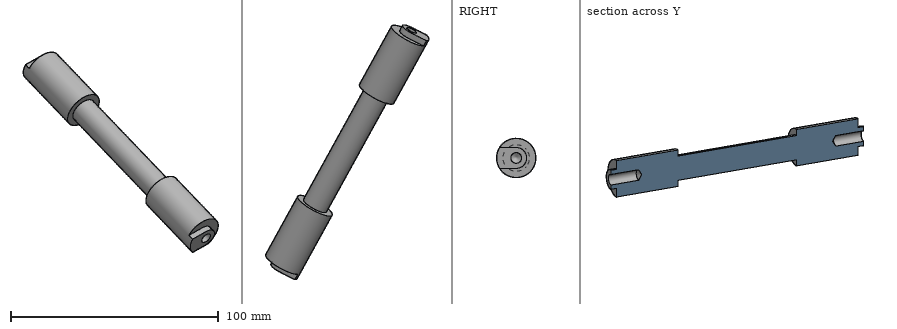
import cadquery as cq
import math

total_length = 135.8
head_diameter = 19.0
head_length = 33.1
shaft_diameter = 12.8
tab_length = 3.0
tab_width = 10.0

hole_diameter = 5.2
hole_depth = 15.0
drill_point_angle = 118.0

half_length = total_length / 2
head_radius = head_diameter / 2
head_outer_x = half_length - tab_length
head_inner_x = head_outer_x - head_length


def cylinder_along_x(diameter, start_x, length):
    return cq.Workplane("YZ", origin=(start_x, 0, 0)).circle(diameter / 2).extrude(length)


def end_tab():
    """Tab rounded about the axis on +Y, trimmed to the head's surface on -Y."""
    tab_radius = tab_width / 2
    outline = (
        cq.Workplane("YZ", origin=(head_outer_x, 0, 0))
        .moveTo(-head_radius, -tab_radius)
        .lineTo(0, -tab_radius)
        .threePointArc((tab_radius, 0), (0, tab_radius))
        .lineTo(-head_radius, tab_radius)
        .close()
    )
    head_envelope = cylinder_along_x(head_diameter, head_outer_x, tab_length)
    return outline.extrude(tab_length).intersect(head_envelope)


def drilled_hole():
    """Straight bore from the end face, closed by a conical drill point."""
    hole_radius = hole_diameter / 2
    point_length = hole_radius / math.tan(math.radians(drill_point_angle / 2))
    bore_bottom_x = half_length - hole_depth
    return (
        cq.Workplane("XY")
        .moveTo(half_length, 0)
        .lineTo(half_length, hole_radius)
        .lineTo(bore_bottom_x, hole_radius)
        .lineTo(bore_bottom_x - point_length, 0)
        .close()
        .revolve(360, (0, 0, 0), (1, 0, 0))
    )


head = cylinder_along_x(head_diameter, head_inner_x, head_length)
end = head.union(end_tab()).cut(drilled_hole())
shaft = cylinder_along_x(shaft_diameter, -head_inner_x, 2 * head_inner_x)

result = shaft.union(end).union(end.mirror("YZ"))